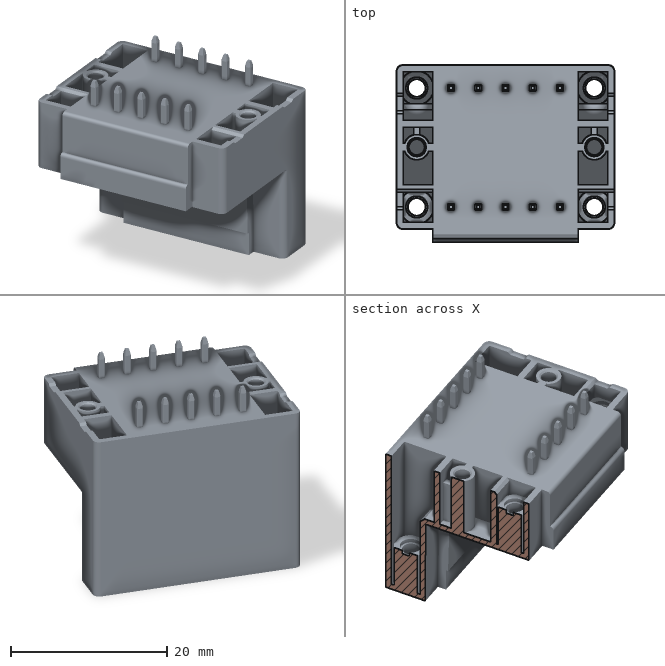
import cadquery as cq


width = 27.9
overall_height = 25.4
overall_depth = 22.7
body_top = 21.93
arm_bottom = 12.6
arm_depth = 21.0
corner_radius = 0.85
leg_depth_top = 5.91
leg_depth_foot = 5.8
leg_root_fillet = 0.17

centre_width = 18.67
centre_bottom = 12.72
nose_step = 0.5
nose_ledge = 16.32
nose_depth = overall_depth - nose_step
pad_depth_top = 7.5
pad_depth_low = 7.28
pad_foot_depth = 6.98
pad_foot_height = 3.15
pad_root_fillet = 1.0

wall = 0.9
pocket_outer = width / 2 - wall
pocket_inner = centre_width / 2
pocket_width = pocket_outer - pocket_inner
pocket_center = 11.35
arm_floor = arm_bottom + wall
leg_floor = wall
back_pocket = (wall, 7.05)
middle_pocket = (7.95, 15.35)
front_pocket = (16.3, 20.15)
ledge_edge = 5.72
ledge_slope = 0.73

row_depths = (2.95, 18.15)
post_height = 7.05
post_radius = 2.18
screw_hole_radius = 1.12
counterbore_radius = 1.4
counterbore_depth = 0.53

sleeve_depth = 10.52
sleeve_radius = 1.62
bore_radius = 1.0
bore_chamfer = 0.2
web_thickness = 1.0
rib_thickness = 0.8
rib_drop = 2.25

notch_starts = (3.63, 15.9)
notch_length = 2.6
notch_drop = 0.3
notch_slope = 0.35

pins_per_row = 5
pin_pitch = 3.5
pin_width = 0.85
pin_edge_chamfer = 0.1
pin_tip_height = 0.8
pin_tip_width = 0.42
pin_root = 0.85


def block(x_range, depth_range, z_range):
    """Box from ranges in X, depth from the back face (minus Y) and Z."""
    x0, x1 = x_range
    d0, d1 = depth_range
    z0, z1 = z_range
    return cq.Workplane("XY").box(x1 - x0, d1 - d0, z1 - z0, centered=False).translate((x0, -d1, z0))


def side_prism(points, x_start, length):
    """Extrude a closed (depth, height) outline along X."""
    outline = [(-depth, height) for depth, height in points]
    return cq.Workplane("YZ", origin=(x_start, 0, 0)).polyline(outline).close().extrude(length)


def cylinder(depth, radius, z0, z1):
    """Upright cylinder on the +X pocket centre line."""
    return cq.Workplane("XY", origin=(pocket_center, -depth, z0)).circle(radius).extrude(z1 - z0)


def make_shell():
    """Outer L shape with rounded corners, a drafted leg front and a fillet where leg meets arm."""
    half = width / 2
    outline = block((-half, half), (0, arm_depth), (0, body_top))
    outline = outline.edges("|Z").fillet(corner_radius)

    leg_points = [
        (0, 0),
        (leg_depth_foot, 0),
        (leg_depth_top, arm_bottom),
        (0, arm_bottom),
    ]
    leg = side_prism(leg_points, -half, width)
    leg = leg.edges("not(|X or |Y)").fillet(corner_radius)

    overhang = corner_radius
    slab = block(
        (-half - overhang, half + overhang),
        (-overhang, arm_depth + overhang),
        (arm_bottom, body_top),
    )
    root_edges = cq.selectors.BoxSelector(
        (-half - leg_root_fillet, -leg_depth_top - leg_root_fillet, arm_bottom - leg_root_fillet),
        (half + leg_root_fillet, leg_root_fillet, arm_bottom + leg_root_fillet),
    )
    bracket = leg.union(slab).edges(root_edges).fillet(leg_root_fillet)
    return bracket.intersect(outline)


def make_centre():
    """Middle section: stepped pad on the leg and a stepped, rounded nose on the arm."""
    span = (-centre_width / 2, centre_width / 2)
    arm_core = block(span, (0, nose_depth), (centre_bottom, body_top))
    arm_core = arm_core.edges("|X and <Y and >Z").fillet(nose_step)
    lip = block(span, (0, overall_depth), (centre_bottom, nose_ledge))
    lip = lip.edges("|X and <Y and >Z").fillet(nose_step)
    root_z = centre_bottom - pad_root_fillet
    pad_points = [
        (0, 0),
        (pad_foot_depth, 0),
        (pad_foot_depth, pad_foot_height),
        (pad_depth_low, pad_foot_height),
        (pad_depth_top, root_z),
        (pad_depth_top, centre_bottom),
        (0, centre_bottom),
    ]
    pad = side_prism(pad_points, -centre_width / 2, centre_width)
    root_depths = (pad_depth_top, pad_depth_top + pad_root_fillet)
    root = block(span, root_depths, (root_z, centre_bottom))
    root_axis = cq.Workplane("YZ", origin=(span[0], -root_depths[1], root_z))
    root = root.cut(root_axis.circle(pad_root_fillet).extrude(centre_width))
    return arm_core.union(lip).union(pad).union(root)


def make_underside_groove():
    """Shallow relief below the middle of the arm, in front of the pad."""
    span = (-centre_width / 2, centre_width / 2)
    return block(span, (leg_depth_top, overall_depth), (arm_bottom, centre_bottom))


def make_pocket_cut():
    """All material removed from the three pockets on the +X side."""
    span = (pocket_inner, pocket_outer)
    back_start, back_end = back_pocket
    slope_end = ledge_edge - ledge_slope
    slope_bottom = arm_floor - ledge_slope
    back_points = [
        (back_start, leg_floor),
        (slope_end, leg_floor),
        (slope_end, slope_bottom),
        (ledge_edge, arm_floor),
        (back_end, arm_floor),
        (back_end, body_top),
        (back_start, body_top),
    ]
    cut = side_prism(back_points, pocket_inner, pocket_width)
    for depth_range in (middle_pocket, front_pocket):
        cut = cut.union(block(span, depth_range, (arm_floor, body_top)))
    return cut


def make_screw_posts(pocket_cut):
    """Solid posts around the screw holes, trimmed to the pocket walls."""
    back_row, front_row = row_depths
    back_post = cylinder(back_row, post_radius, 0, post_height)
    front_post = cylinder(front_row, post_radius, arm_bottom, arm_bottom + post_height)
    return back_post.union(front_post).intersect(pocket_cut)


def make_screw_holes():
    """Counterbored through holes in the screw posts."""
    holes = cq.Workplane("XY")
    for depth, base in zip(row_depths, (0, arm_bottom)):
        post_top = base + post_height
        holes = holes.union(cylinder(depth, screw_hole_radius, base, post_top))
        holes = holes.union(cylinder(depth, counterbore_radius, post_top - counterbore_depth, post_top))
    return holes


def make_sleeve():
    """Sleeve in the middle pocket with two side webs and a lower rib to the divider."""
    sleeve = cylinder(sleeve_depth, sleeve_radius, arm_floor, body_top)
    web_range = (sleeve_depth - web_thickness / 2, sleeve_depth + web_thickness / 2)
    webs = block((pocket_inner, pocket_outer), web_range, (arm_floor, body_top))
    rib_span = (pocket_center - rib_thickness / 2, pocket_center + rib_thickness / 2)
    rib = block(rib_span, (middle_pocket[0], sleeve_depth), (arm_floor, body_top - rib_drop))
    return sleeve.union(webs).union(rib)


def make_sleeve_bore():
    """Blind bore with a chamfered mouth."""
    bore = cylinder(sleeve_depth, bore_radius, arm_floor, body_top)
    mouth = (
        cq.Workplane("XY", origin=(pocket_center, -sleeve_depth, body_top - bore_chamfer))
        .circle(bore_radius)
        .workplane(offset=bore_chamfer)
        .circle(bore_radius + bore_chamfer)
        .loft()
    )
    return bore.union(mouth)


def make_notches():
    """Slope-ended notches across the side rim, reaching the inner pocket wall."""
    notches = cq.Workplane("XY")
    for start in notch_starts:
        end = start + notch_length
        points = [
            (start, body_top),
            (start + notch_slope, body_top - notch_drop),
            (end - notch_slope, body_top - notch_drop),
            (end, body_top),
        ]
        notches = notches.union(side_prism(points, pocket_inner, width / 2 - pocket_inner))
    return notches


def make_pin():
    """Square contact pin with broken edges and a tapered tip, standing at the origin."""
    shoulder = overall_height - pin_tip_height
    bottom = body_top - pin_root
    shaft = cq.Workplane("XY", origin=(0, 0, bottom)).rect(pin_width, pin_width).extrude(shoulder - bottom)
    tip = (
        cq.Workplane("XY", origin=(0, 0, shoulder))
        .rect(pin_width, pin_width)
        .workplane(offset=pin_tip_height)
        .rect(pin_tip_width, pin_tip_width)
        .loft()
    )
    bar = cq.Workplane("XY", origin=(0, 0, bottom)).rect(pin_width, pin_width).extrude(overall_height - bottom)
    bar = bar.edges("|Z").chamfer(pin_edge_chamfer)
    return bar.intersect(shaft.union(tip))


def both_sides(shape):
    """The shape together with its mirror image across the YZ plane."""
    return shape.union(shape.mirror("YZ"))


pockets = make_pocket_cut()
side_cut = pockets.cut(make_screw_posts(pockets)).cut(make_sleeve())
side_cut = side_cut.union(make_screw_holes()).union(make_sleeve_bore()).union(make_notches())

housing = make_shell().cut(make_underside_groove()).union(make_centre())
housing = housing.cut(both_sides(side_cut))

pin = make_pin()
for row_depth in row_depths:
    for index in range(pins_per_row):
        pin_x = (index - (pins_per_row - 1) / 2) * pin_pitch
        housing = housing.union(pin.translate((pin_x, -row_depth, 0)))

result = housing